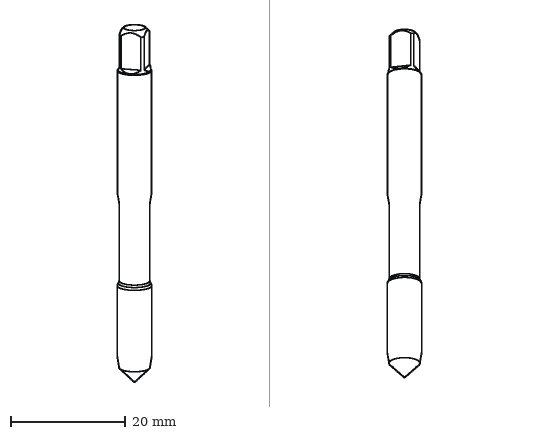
import cadquery as cq

total_length = 64.47
lead_taper_end = 4.79
thread_end = 17.6
joint_height = 18.04
neck_start = 18.45
neck_end = 32.38
shank_start = 34.33
shank_chamfer_start = 56.65
square_start = 57.47

thread_diameter = 6.09
point_diameter = 5.42
joint_diameter = 5.65
neck_diameter = 5.35
shank_diameter = 6.0

square_width = 4.5
square_corner_diameter = 5.76
square_top_diameter = 3.8
top_chamfer_height = 1.0

point_length = point_diameter / 2
shank_chamfer = (shank_diameter - square_corner_diameter) / 2

flat_count = 4
cutter_overrun = 1.0


def revolve_profile(stations):
    """Solid of revolution about Z through (diameter, height) stations, bottom to top."""
    outline = [(0, stations[0][1])]
    outline += [(diameter / 2, height) for diameter, height in stations if diameter > 0]
    outline += [(0, stations[-1][1])]
    return cq.Workplane("XZ").polyline(outline).close().revolve(360, (0, 0), (0, 1))


def make_flat_cutter():
    """Material outside the +X drive flat, run out by a 45 degree ramp at its foot."""
    flat = square_width / 2
    reach = shank_diameter
    cutter_top = total_length + cutter_overrun
    outline = [
        (flat, cutter_top),
        (flat, square_start),
        (flat + reach, square_start - reach),
        (flat + reach, cutter_top),
    ]
    return cq.Workplane("XZ").polyline(outline).close().extrude(shank_diameter, both=True)


def make_threaded_end():
    """Plain cylinder standing for the thread, with a point and lead taper below it."""
    return revolve_profile([
        (0, 0),
        (point_diameter, point_length),
        (thread_diameter, lead_taper_end),
        (thread_diameter, thread_end),
        (joint_diameter, joint_height),
    ])


def make_shank():
    """Neck, shank and drive square, standing on the threaded end."""
    shank = revolve_profile([
        (joint_diameter, joint_height),
        (neck_diameter, neck_start),
        (neck_diameter, neck_end),
        (shank_diameter, shank_start),
        (shank_diameter, shank_chamfer_start),
        (square_corner_diameter, shank_chamfer_start + shank_chamfer),
        (square_corner_diameter, total_length - top_chamfer_height),
        (square_top_diameter, total_length),
    ])
    flat_cutter = make_flat_cutter()
    for side in range(flat_count):
        angle = side * 360 / flat_count
        shank = shank.cut(flat_cutter.rotate((0, 0, 0), (0, 0, 1), angle))
    return shank


threaded_end = make_threaded_end()
shank = make_shank()

result = cq.Compound.makeCompound([threaded_end.val(), shank.val()])